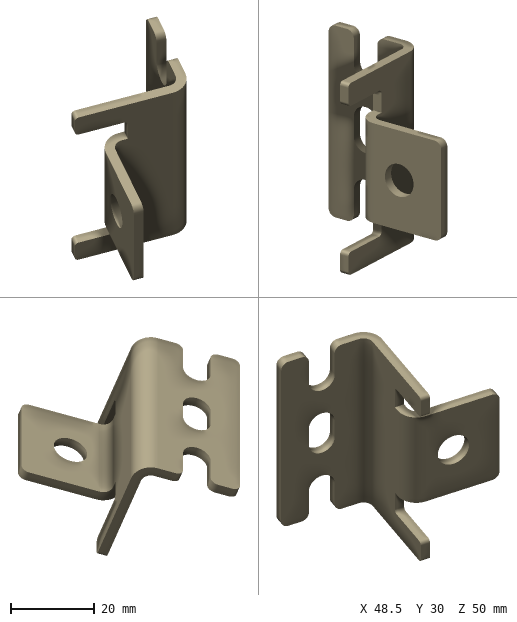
import cadquery as cq

length = 48.5
depth = 30.0
height = 50.0
thickness = 2.5
inner_bend = 2.5
outer_bend = inner_bend + thickness
corner_radius = 2.0

web_right = 26.0
web_left = web_right - thickness
arm_height = 6.0
arm_radius = 1.0
notch_floor = -16.5

tab_front = -23.0
tab_back = tab_front + thickness
tab_height = 26.0
tab_hole_x = 36.0
tab_hole_diameter = 8.5

slot_x = 11.0
slot_width = 7.0
slot_length = 12.0


def block(x_min, x_max, y_min, y_max, z_size):
    """Box centred on Z = 0 and given by its X and Y limits."""
    return (
        cq.Workplane("XY")
        .box(x_max - x_min, y_max - y_min, z_size)
        .translate(((x_min + x_max) / 2, (y_min + y_max) / 2, 0))
    )


def make_back_flange():
    """Flat back flange with a closed middle slot and an open slot at each end."""
    flange_end = web_right - outer_bend
    flange = block(0, flange_end, -thickness, 0, height)
    slot = (
        cq.Workplane("XZ")
        .center(slot_x, 0)
        .slot2D(slot_length, slot_width, 90)
        .extrude(thickness)
    )
    flange = flange.cut(slot)
    for edge_z in (-height / 2, height / 2):
        end_slot = (
            cq.Workplane("XZ")
            .center(slot_x, edge_z)
            .slot2D(2 * slot_length, slot_width, 90)
            .extrude(thickness)
        )
        flange = flange.cut(end_slot)
    mouth_half = slot_width / 2
    for corner_x in (0, slot_x - mouth_half, slot_x + mouth_half):
        for corner_z in (-height / 2, height / 2):
            corner = cq.selectors.NearestToPointSelector((corner_x, -thickness / 2, corner_z))
            flange = flange.edges("|Y").edges(corner).fillet(corner_radius)
    return flange


def make_bend(center_x, center_y, x_sign, y_sign, z_size):
    """Quarter ring around a vertical axis, in the quadrant set by the signs."""
    ring = (
        cq.Workplane("XY")
        .center(center_x, center_y)
        .circle(outer_bend)
        .circle(inner_bend)
        .extrude(z_size)
        .translate((0, 0, -z_size / 2))
    )
    far_x = center_x + x_sign * outer_bend
    far_y = center_y + y_sign * outer_bend
    quadrant = block(
        min(center_x, far_x), max(center_x, far_x), min(center_y, far_y), max(center_y, far_y), z_size
    )
    return ring.intersect(quadrant)


def make_web():
    """Upright web with two arms reaching forward above and below the tab."""
    web = block(web_left, web_right, -depth, -outer_bend, height)
    web = web.cut(block(web_left, web_right, -depth, notch_floor, height - 2 * arm_height))
    web = web.edges("|X").edges("<Y").fillet(arm_radius)
    notch_corners = cq.selectors.BoxSelector(
        (web_left - 0.5, notch_floor - 0.5, -height / 2 + 0.5),
        (web_right + 0.5, notch_floor + 0.5, height / 2 - 0.5),
    )
    return web.edges("|X").edges(notch_corners).fillet(arm_radius)


def make_tab():
    """Front tab with its bend, the short neck to the web and a round hole."""
    bend_x = web_right + inner_bend
    bend_y = tab_back + inner_bend
    plate = block(bend_x, length, tab_front, tab_back, tab_height)
    plate = plate.edges("|Y and >X").fillet(corner_radius)
    hole = (
        cq.Workplane("XZ", origin=(tab_hole_x, tab_back, 0))
        .circle(tab_hole_diameter / 2)
        .extrude(thickness)
    )
    neck = block(web_left, web_right, bend_y, notch_floor, tab_height)
    bend = make_bend(bend_x, bend_y, -1, -1, tab_height)
    return plate.cut(hole).union(bend).union(neck)


back_bend = make_bend(web_right - outer_bend, -outer_bend, 1, 1, height)
result = make_back_flange().union(back_bend).union(make_web()).union(make_tab())